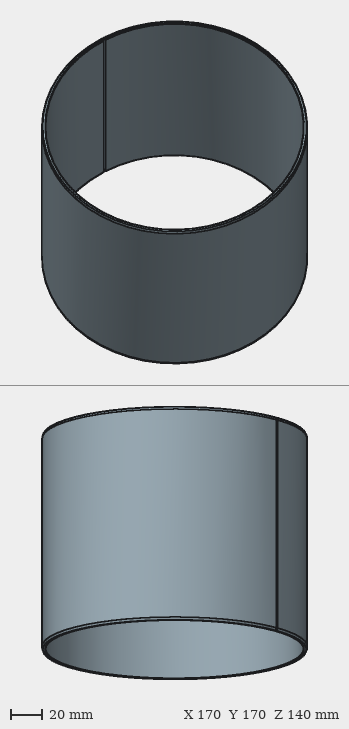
import cadquery as cq

OUTER_DIAMETER = 170.0
HEIGHT = 140.0
WALL = 2.5
OUTER_CHAMFER_DEPTH = 0.6
OUTER_CHAMFER_HEIGHT = 1.7
INNER_CHAMFER = 0.4
SLIT_WIDTH = 1.4

OUTER_RADIUS = OUTER_DIAMETER / 2
INNER_RADIUS = OUTER_RADIUS - WALL
HALF_HEIGHT = HEIGHT / 2


def sleeve():
    """Full ring with steep outer and 45-degree inner chamfers on both rims."""
    rim_outer = OUTER_RADIUS - OUTER_CHAMFER_DEPTH
    rim_inner = INNER_RADIUS + INNER_CHAMFER
    outer_shoulder = HALF_HEIGHT - OUTER_CHAMFER_HEIGHT
    inner_shoulder = HALF_HEIGHT - INNER_CHAMFER
    wall_section = (
        cq.Workplane("XZ")
        .moveTo(-INNER_RADIUS, -inner_shoulder)
        .lineTo(-rim_inner, -HALF_HEIGHT)
        .lineTo(-rim_outer, -HALF_HEIGHT)
        .lineTo(-OUTER_RADIUS, -outer_shoulder)
        .lineTo(-OUTER_RADIUS, outer_shoulder)
        .lineTo(-rim_outer, HALF_HEIGHT)
        .lineTo(-rim_inner, HALF_HEIGHT)
        .lineTo(-INNER_RADIUS, inner_shoulder)
        .close()
    )
    return wall_section.revolve(360, (0, 0, 0), (0, 1, 0))


def slit_cutter():
    """Bar that opens the -X wall over its whole height, from Y = 0 towards +Y."""
    bar_depth = 4 * WALL
    return cq.Workplane("XY").box(bar_depth, SLIT_WIDTH, 2 * HEIGHT).translate(
        (-OUTER_RADIUS, SLIT_WIDTH / 2, 0)
    )


result = sleeve().cut(slit_cutter())